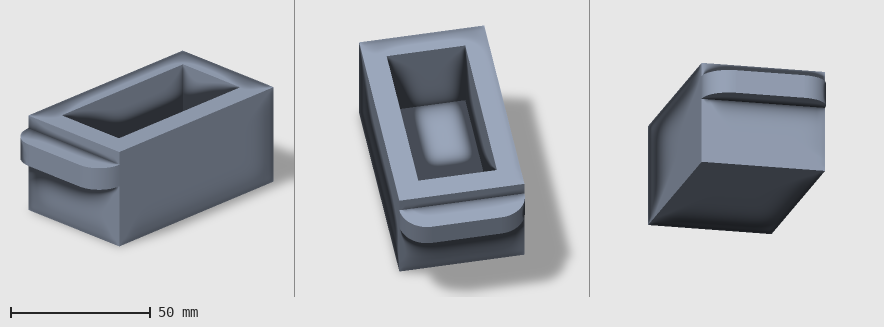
import cadquery as cq

width = 45.5
total_length = 89.0
height = 37.0

wall = 8.45

tab_reach = 10.1
tab_thickness = wall
tab_drop = 5.0

body_length = total_length - tab_reach
tab_bottom = height - tab_drop - tab_thickness


def make_body():
    """Open-topped box with its -Y face on the XZ plane."""
    body = cq.Workplane("XY").box(width, body_length, height, centered=(True, False, False))
    cavity = (
        cq.Workplane("XY", origin=(0, wall, wall))
        .box(
            width - 2 * wall,
            body_length - 2 * wall,
            height - wall,
            centered=(True, False, False),
        )
    )
    return body.cut(cavity)


def make_tab():
    """Full-width grip tab with rounded outer corners."""
    return (
        cq.Workplane("XY", origin=(0, 0, tab_bottom))
        .moveTo(-width / 2, 0)
        .radiusArc((-width / 2 + tab_reach, -tab_reach), -tab_reach)
        .lineTo(width / 2 - tab_reach, -tab_reach)
        .radiusArc((width / 2, 0), -tab_reach)
        .close()
        .extrude(tab_thickness)
    )


result = make_body().union(make_tab())